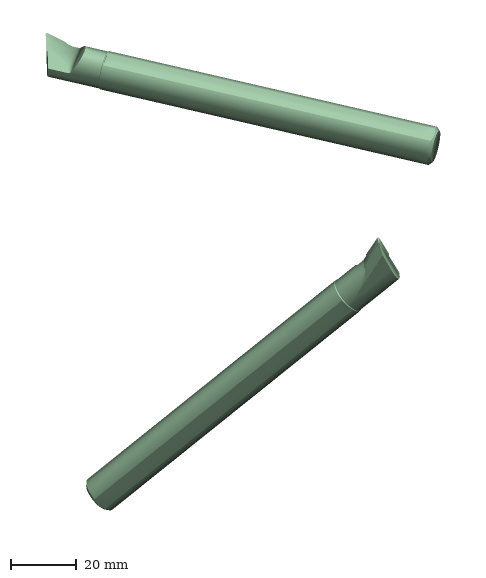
import cadquery as cq
import math


overall_length = 126.29
shank_radius = 6.0
shank_flat_height = 5.5
neck_radius = 5.8
shank_start = 21.0
step_length = shank_radius - neck_radius
flat_start = 21.4
end_chamfer = 1.0

tip_reach = 8.86
rake = 7.0
insert_angle = 55.0
inscribed_circle = 6.35
insert_thickness = 2.38
insert_clearance = 7.0
nose_radius = 0.4
lead_angle = (90 - insert_angle) / 2
screw_head_diameter = 3.75
screw_stem_diameter = 2.8

seat_end = 11.75
ramp_angle = 60.0
seat_fillet = 1.0
front_setback = 0.4
side_setback = 0.35
side_relief = 31.0
clear = 30.0

lead = math.radians(lead_angle)
half_corner = math.radians(insert_angle / 2)
corner_distance = inscribed_circle / 2 / math.sin(half_corner)
nose_overhang = nose_radius / math.sin(half_corner) * math.sqrt(0.5) - nose_radius
insert_center = corner_distance * math.sqrt(0.5) - nose_overhang

seat_plane = cq.Plane(
    origin=(0, tip_reach, 0),
    xDir=(1, 0, 0),
    normal=(0, math.sin(math.radians(rake)), math.cos(math.radians(rake))),
)


def cylinder_along_x(radius, start, end):
    return cq.Workplane("YZ", origin=(start, 0, 0)).circle(radius).extrude(end - start)


def make_insert_blank():
    """Solid insert: rounded rhombus that tapers inwards below its top face."""
    inner_distance = corner_distance - nose_radius / math.sin(half_corner)
    half_width = inner_distance * math.tan(half_corner)
    rhombus = [(-inner_distance, 0), (0, -half_width), (inner_distance, 0), (0, half_width)]
    return (
        cq.Workplane(seat_plane)
        .center(insert_center, -insert_center)
        .transformed(rotate=(0, 0, -45))
        .polyline(rhombus)
        .close()
        .offset2D(nose_radius, "arc")
        .extrude(-insert_thickness, taper=insert_clearance)
    )


def make_screw():
    """Countersunk clamping screw, flush with the insert's top face, standing on the pocket floor."""
    head_radius = screw_head_diameter / 2
    stem_radius = screw_stem_diameter / 2
    cone_depth = head_radius - stem_radius
    top = cq.Workplane(seat_plane).center(insert_center, -insert_center)
    stem = top.circle(stem_radius).extrude(-insert_thickness)
    head = top.circle(head_radius).workplane(offset=-cone_depth).circle(stem_radius).loft()
    return stem.union(head)


def make_shank():
    bar = cylinder_along_x(shank_radius, shank_start, overall_length)
    bar = bar.faces("<X").chamfer(step_length)
    bar = bar.faces(">X").edges().chamfer(end_chamfer)
    for side in (1, -1):
        flat = cq.Workplane("XY").box(overall_length, clear, clear, centered=(False, True, True))
        bar = bar.cut(flat.translate((flat_start, 0, side * (shank_flat_height + clear / 2))))
    return bar


def make_side_support():
    """Block under the insert, along its side edge, that runs out into the neck."""
    edge_plane = cq.Plane(
        origin=(-nose_overhang, tip_reach + nose_overhang, 0),
        xDir=(math.sin(lead), math.cos(lead), 0),
        normal=(math.cos(lead), -math.sin(lead), 0),
    )
    wall_slope = math.tan(math.radians(insert_clearance))
    break_offset = -side_setback - insert_thickness * wall_slope
    bottom_drop = neck_radius - insert_thickness
    bottom_offset = break_offset - bottom_drop * math.tan(math.radians(side_relief))
    inner_offset = -tip_reach
    top_height = tip_reach * math.tan(math.radians(rake))
    outline = [
        (inner_offset, top_height),
        (-side_setback + top_height * wall_slope, top_height),
        (break_offset, -insert_thickness),
        (bottom_offset, -neck_radius),
        (inner_offset, -neck_radius),
    ]
    block = cq.Workplane(edge_plane).workplane(offset=-clear).polyline(outline).close().extrude(2 * clear)
    keep = cq.Workplane("XY").box(shank_start + clear, clear, clear, centered=(False, False, True))
    return block.intersect(keep.translate((-clear, 0, 0)))


def make_seat_cut():
    """Space above the seat, with the filleted corner and the ramp up to the neck."""
    ramp_run = clear / math.tan(math.radians(ramp_angle))
    cut = (
        cq.Workplane(seat_plane)
        .transformed(rotate=(90, 0, 0))
        .polyline([(-clear, 0), (seat_end, 0), (seat_end + ramp_run, clear), (-clear, clear)])
        .close()
        .extrude(clear, both=True)
    )
    across_seat = cq.selectors.ParallelDirSelector(seat_plane.yDir)
    seat_corner = cq.selectors.NearestToPointSelector((seat_end, tip_reach, 0))
    return cut.edges(across_seat).edges(seat_corner).fillet(seat_fillet)


def make_front_cut():
    """Everything ahead of the holder's front face, which is square to the seat."""
    return (
        cq.Workplane(seat_plane)
        .center(-nose_overhang, nose_overhang)
        .transformed(rotate=(0, 0, lead_angle))
        .center(front_setback - clear / 2, 0)
        .rect(clear, 2 * clear)
        .extrude(clear, both=True)
    )


insert_blank = make_insert_blank()
screw = make_screw()
insert = insert_blank.cut(screw)

holder = (
    cylinder_along_x(neck_radius, -clear / 2, shank_start)
    .union(make_side_support())
    .cut(make_front_cut())
    .cut(make_seat_cut())
    .union(make_shank())
    .cut(insert_blank)
    .union(screw)
)

result = cq.Compound.makeCompound([holder.val(), insert.val()])